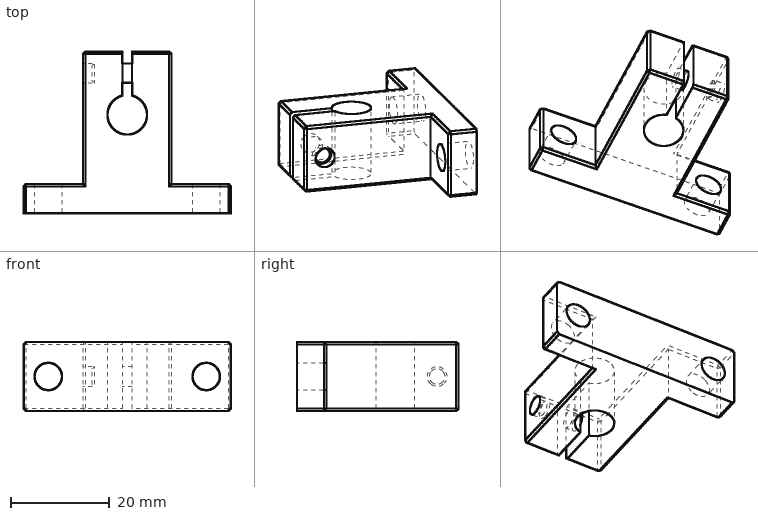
import cadquery as cq

foot_width = 42.0
total_height = 32.8
depth = 14.0
foot_thickness = 6.0
stem_width = 17.98
edge_chamfer = 0.5

bore_diameter = 8.0
bore_height = 20.0
slot_width = 2.0

screw_diameter = 4.0
screw_height = 28.45
screw_recess = 1.9
screw_tip_chamfer = 0.4

mount_hole_diameter = 5.5
mount_hole_spacing = 32.0


def chamfered_block(width, height):
    """Block standing on Y = 0, chamfered everywhere except around its mounting face."""
    block = cq.Workplane("XY").box(width, height, depth, centered=(True, False, True))
    return block.edges("|Y or >Y").chamfer(edge_chamfer)


def x_cylinder(diameter, x_start, length):
    """Cylinder along the clamp screw axis."""
    return (
        cq.Workplane("YZ", origin=(x_start, screw_height, 0))
        .circle(diameter / 2)
        .extrude(length)
    )


foot = chamfered_block(foot_width, foot_thickness)
stem = chamfered_block(stem_width, total_height)
body = foot.union(stem)

bore = (
    cq.Workplane("XY", origin=(0, bore_height, 0))
    .circle(bore_diameter / 2)
    .extrude(depth / 2, both=True)
)
slot_length = total_height - bore_height
slot = cq.Workplane("XY", origin=(0, bore_height, 0)).box(
    slot_width, slot_length, depth, centered=(True, False, True)
)
body = body.cut(bore).cut(slot)

mount_holes = (
    cq.Workplane("XZ")
    .pushPoints([(side * mount_hole_spacing / 2, 0) for side in (-1, 1)])
    .circle(mount_hole_diameter / 2)
    .extrude(-foot_thickness)
)
body = body.cut(mount_holes)

screw_tip_x = -stem_width / 2 + screw_recess
screw_hole = x_cylinder(screw_diameter, -stem_width / 2, stem_width / 2)
screw = x_cylinder(screw_diameter, screw_tip_x, slot_width / 2 - screw_tip_x)
screw = screw.faces("<X").chamfer(screw_tip_chamfer)

result = body.cut(screw_hole).union(screw)